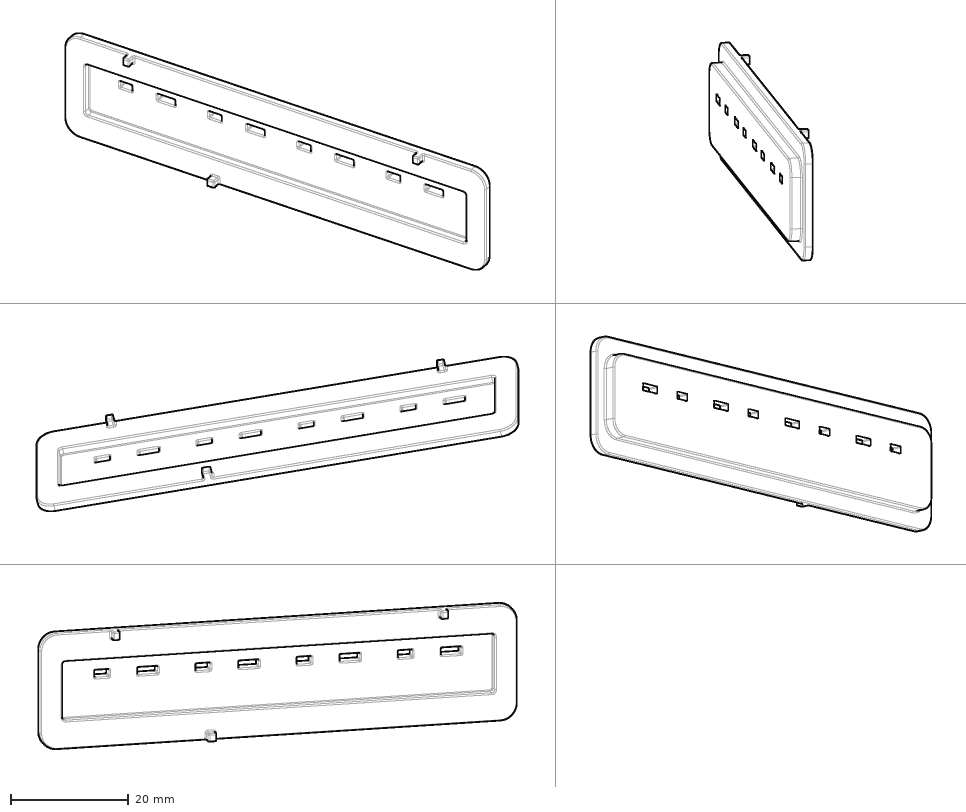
import cadquery as cq

edge_radius = 0.25

plate_length = 83.7
plate_height = 20.5
plate_thickness = 1.6
plate_corner_radius = 3.0

panel_length = 79.55
panel_height = 14.5
panel_depth = 2.0
panel_corner_radius = 2.8

recess_length = 75.9
recess_height = 10.4
recess_corner_radius = 0.6
recess_depth = 1.5
recess_floor_radius = 0.2

slot_height = 1.25
slot_corner_radius = 0.2
slot_row_z = 2.3
narrow_slot_length = 2.5
wide_slot_length = 3.5
slot_pair_count = 4
slot_pair_pitch = 17.75
slot_pair_spacing = 8.0

peg_length = 1.5
peg_height = 1.5
upper_peg_width = 1.25
upper_peg_x = 28.8
lower_peg_width = 1.5
lower_peg_x = -12.0


def block(length, height, depth, front_y, x=0.0, z=0.0):
    """Box centred on x and z, running from front_y towards +Y."""
    return cq.Workplane("XZ", origin=(x, front_y, z)).rect(length, height).extrude(-depth)


def peg(x, width, edge):
    """Peg at the top (edge=1) or bottom (edge=-1) of the plate."""
    z = edge * (plate_height - peg_height) / 2
    return block(width, peg_height, peg_length, -peg_length, x, z)


def outer_body():
    """Plate, panel and pegs with every edge and root rounded."""
    plate = block(plate_length, plate_height, plate_thickness, 0)
    plate = plate.edges("|Y").fillet(plate_corner_radius)
    panel = block(panel_length, panel_height, panel_depth, plate_thickness)
    panel = panel.edges("|Y").fillet(panel_corner_radius)
    body = plate.union(panel)
    for x in (-upper_peg_x, upper_peg_x):
        body = body.union(peg(x, upper_peg_width, 1))
    body = body.union(peg(lower_peg_x, lower_peg_width, -1))
    return body.edges().fillet(edge_radius)


def round_openings(body, face_y, radius):
    """Round the rims of all openings in the front-facing face at depth face_y."""
    face = body.faces("-Y").faces(cq.NearestToPointSelector((0, face_y, 0))).val()
    rims = [edge for wire in face.innerWires() for edge in wire.Edges()]
    return body.newObject(rims).fillet(radius)


def cut_recess(body):
    """Sink the recess into the front face and round its mouth."""
    recess = block(recess_length, recess_height, recess_depth, 0)
    recess = recess.edges("|Y").fillet(recess_corner_radius)
    recess = recess.faces(">Y").edges().fillet(recess_floor_radius)
    return round_openings(body.cut(recess), 0, edge_radius)


def slot(x, length):
    """Slot running from the recess floor through the back of the panel."""
    floor_thickness = plate_thickness + panel_depth - recess_depth
    cutter = block(length, slot_height, floor_thickness, recess_depth, x, slot_row_z)
    return cutter.edges("|Y").fillet(slot_corner_radius)


def cut_slots(body):
    """Cut the slot row and round the slot mouths at the recess floor."""
    for pair in range(slot_pair_count):
        pair_x = (pair - (slot_pair_count - 1) / 2) * slot_pair_pitch
        body = body.cut(slot(pair_x - slot_pair_spacing / 2, narrow_slot_length))
        body = body.cut(slot(pair_x + slot_pair_spacing / 2, wide_slot_length))
    return round_openings(body, recess_depth, edge_radius)


result = cut_slots(cut_recess(outer_body()))